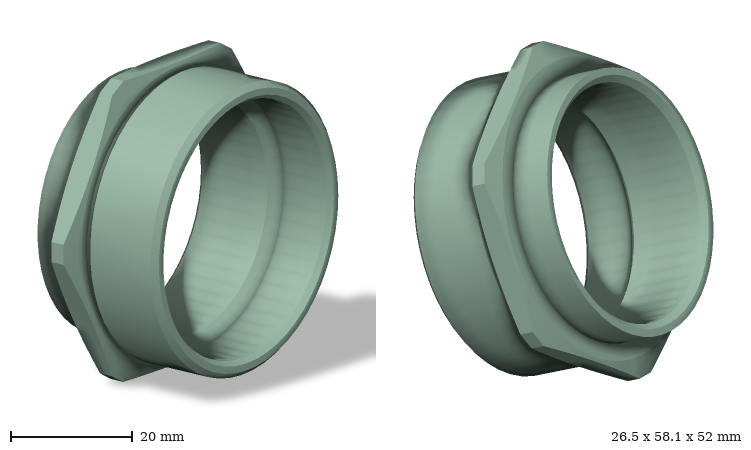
import cadquery as cq
import math

collar_length = 7.0
hex_thickness = 4.45
relief_length = 1.45
total_length = 26.5
hex_end = collar_length + hex_thickness
thread_start = hex_end + relief_length

collar_diameter = 45.0
relief_diameter = 48.0
thread_diameter = 50.0

hex_across_flats = 52.0
hex_across_corners = 58.05
hex_face_diameter = 50.85
hex_bevel_angle = 15.0

narrow_bore_diameter = 40.4
wide_bore_diameter = 44.1
bore_step_start = 14.75

thread_chamfer = 1.0
bore_chamfer = 1.05

flare_length = 1.0
flare_depth = 0.75


def cylinder(diameter, start, end):
    return cq.Workplane("YZ", origin=(start, 0, 0)).circle(diameter / 2).extrude(end - start)


def hex_prism(across_flats):
    """Hexagonal prism with corners on the Y axis and two flats facing Z."""
    diameter = across_flats / math.cos(math.pi / 6)
    return cq.Workplane("YZ", origin=(collar_length, 0, 0)).polygon(6, diameter).extrude(hex_thickness)


def revolve_about_x(points):
    return cq.Workplane("XY").polyline(points).close().revolve(360, (0, 0, 0), (1, 0, 0))


def make_hexagon():
    """Hexagon with its corners cut flat and both faces bevelled."""
    corner_cutter = hex_prism(hex_across_corners).rotate((0, 0, 0), (1, 0, 0), 30)
    truncated = hex_prism(hex_across_flats).intersect(corner_cutter)

    face_radius = hex_face_diameter / 2
    outer_radius = hex_across_flats / 2 / math.cos(math.pi / 6)
    bevel_length = (outer_radius - face_radius) * math.tan(math.radians(hex_bevel_angle))
    envelope = revolve_about_x([
        (collar_length, 0),
        (collar_length, face_radius),
        (collar_length + bevel_length, outer_radius),
        (hex_end - bevel_length, outer_radius),
        (hex_end, face_radius),
        (hex_end, 0),
    ])
    return truncated.intersect(envelope)


def make_bore():
    """Through bore that widens at a 45 degree step, with a chamfer and a flare at its ends."""
    narrow_radius = narrow_bore_diameter / 2
    wide_radius = wide_bore_diameter / 2
    bore_step_end = bore_step_start + wide_radius - narrow_radius
    return revolve_about_x([
        (0, 0),
        (0, narrow_radius + bore_chamfer),
        (bore_chamfer, narrow_radius),
        (bore_step_start, narrow_radius),
        (bore_step_end, wide_radius),
        (total_length - flare_length, wide_radius),
        (total_length, wide_radius + flare_depth),
        (total_length, 0),
    ])


collar = cylinder(collar_diameter, 0, collar_length)
relief = cylinder(relief_diameter, hex_end, thread_start)
thread = cylinder(thread_diameter, thread_start, total_length).faces(">X").chamfer(thread_chamfer)

result = collar.union(make_hexagon()).union(relief).union(thread).cut(make_bore())